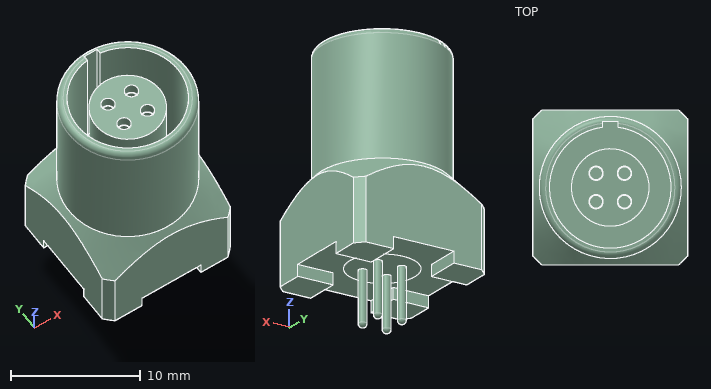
import cadquery as cq

BASE_WIDTH = 12.0
BASE_CORNER_DIAMETER = 16.0
BASE_TOP = 8.0
BARREL_DIAMETER = 11.0
HOUSING_TOP = 19.0
RIM_FILLET = 0.5
BORE_DIAMETER = 9.4
BORE_FLOOR = BASE_TOP

FOOT_GAP = 5.5
FOOT_HEIGHT = 1.0

KEY_WIDTH = 1.2
KEY_REACH = 5.1

INSERT_DIAMETER = 6.0
INSERT_TOP = 17.7
ENTRY_DIAMETER = 1.1
ENTRY_DEPTH = 1.0

CONTACT_PITCH = 2.2
SOCKET_DIAMETER = 1.6
SOCKET_BORE = 1.0
SOCKET_BORE_DEPTH = 6.0
SOCKET_TOP = INSERT_TOP - ENTRY_DEPTH
SOCKET_BOTTOM = BASE_TOP
PIN_DIAMETER = 0.7
PIN_BOTTOM = -3.8
PIN_TIP_FILLET = 0.34

HALF_PITCH = CONTACT_PITCH / 2
CONTACT_POSITIONS = [
    (x, y)
    for x in (-HALF_PITCH, HALF_PITCH)
    for y in (-HALF_PITCH, HALF_PITCH)
]


def cylinder(diameter, bottom, top, position=(0, 0)):
    """Upright cylinder between two heights."""
    return (
        cq.Workplane("XY", origin=(*position, bottom))
        .circle(diameter / 2)
        .extrude(top - bottom)
    )


def block(x_size, y_size, bottom, top):
    """Upright block centred on the axis, between two heights."""
    return cq.Workplane("XY", origin=(0, 0, bottom)).rect(x_size, y_size).extrude(top - bottom)


def make_base():
    """Square base whose top and corners follow a turned, 45 degree tapered blank."""
    shoulder = (BASE_CORNER_DIAMETER - BARREL_DIAMETER) / 2
    blank = (
        cylinder(BASE_CORNER_DIAMETER, 0, BASE_TOP)
        .faces(">Z")
        .chamfer(shoulder)
    )
    base = block(BASE_WIDTH, BASE_WIDTH, 0, BASE_TOP).intersect(blank)
    for x_size, y_size in ((FOOT_GAP, BASE_WIDTH), (BASE_WIDTH, FOOT_GAP)):
        base = base.cut(block(x_size, y_size, 0, FOOT_HEIGHT))
    return base


def make_housing():
    barrel = (
        cylinder(BARREL_DIAMETER, BASE_TOP, HOUSING_TOP)
        .faces(">Z")
        .edges()
        .fillet(RIM_FILLET)
    )
    key_slot = (
        cq.Workplane("XY", origin=(0, 0, BORE_FLOOR))
        .center(0, KEY_REACH / 2)
        .rect(KEY_WIDTH, KEY_REACH)
        .extrude(HOUSING_TOP - BORE_FLOOR)
    )
    return (
        make_base()
        .union(barrel)
        .cut(cylinder(BORE_DIAMETER, BORE_FLOOR, HOUSING_TOP))
        .cut(key_slot)
        .cut(cylinder(INSERT_DIAMETER, FOOT_HEIGHT, BORE_FLOOR))
    )


def make_insert():
    """Round insert with a stepped hole for each socket and its pin."""
    insert = cylinder(INSERT_DIAMETER, FOOT_HEIGHT, INSERT_TOP)
    for position in CONTACT_POSITIONS:
        insert = (
            insert
            .cut(cylinder(ENTRY_DIAMETER, SOCKET_TOP, INSERT_TOP, position))
            .cut(cylinder(SOCKET_DIAMETER, SOCKET_BOTTOM, SOCKET_TOP, position))
            .cut(cylinder(PIN_DIAMETER, FOOT_HEIGHT, SOCKET_BOTTOM, position))
        )
    return insert


def make_socket(position):
    """Socket sleeve, closed at the bottom where it stands on its pin."""
    bore = cylinder(SOCKET_BORE, SOCKET_TOP - SOCKET_BORE_DEPTH, SOCKET_TOP, position)
    return cylinder(SOCKET_DIAMETER, SOCKET_BOTTOM, SOCKET_TOP, position).cut(bore)


def make_pin(position):
    """Solder pin with a rounded lower end."""
    return (
        cylinder(PIN_DIAMETER, PIN_BOTTOM, SOCKET_BOTTOM, position)
        .faces("<Z")
        .edges()
        .fillet(PIN_TIP_FILLET)
    )


housing = make_housing()
insert = make_insert()
sockets = [make_socket(position).val() for position in CONTACT_POSITIONS]
pins = [make_pin(position).val() for position in CONTACT_POSITIONS]

result = cq.Compound.makeCompound([housing.val(), insert.val(), *sockets, *pins])